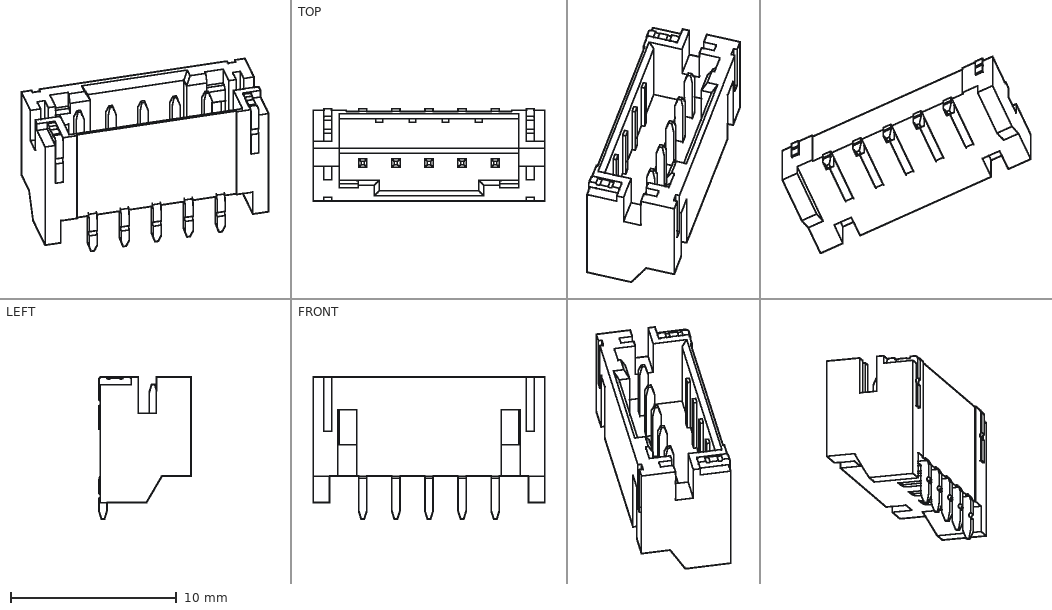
import cadquery as cq
import math


LENGTH = 14.0
DEPTH = 5.5
HEIGHT = 6.0
HALF_LENGTH = LENGTH / 2
PROUD = 0.08
METAL_BACK = DEPTH + PROUD

FOOT_WIDTH = 1.0
FOOT_HEIGHT = 1.6
FOOT_TOP_Y = 1.76
FOOT_BOTTOM_Y = 2.7

CAVITY_HALF = 5.42
CAVITY_FRONT = 1.26
CAVITY_BACK = 4.97
LEAD_IN = 0.3
LEAD_IN_HEIGHT = 0.5
KEYWAY_HALF = 3.01
KEYWAY_FRONT = 0.62
FRONT_FLOOR_DEPTH = 4.1
FLOOR_STEP = 0.6
FLOOR_SLOPE_START = 2.9

RIB_WIDTH = 0.4
RIB_DEPTH = 0.2
RIB_TOP_DEPTH = 1.2

BACK_RECESS_HALF = 5.0
BACK_RECESS_DEPTH = 0.08

SLOT_FRONT = 2.1
SLOT_BACK = 3.19
SLOT_DEPTH = 2.2

NOTCH_INNER = 4.37
NOTCH_OUTER = 5.5
NOTCH_TOP_DEPTH = 2.0

POCKET_INNER = 4.28
POCKET_FRONT = 0.8
POCKET_DEPTH = 1.0
POCKET_BEVEL = 0.21

TAB_CENTER = 6.12
TAB_WIDTH = 0.48
TAB_THICKNESS = 0.48
TAB_TOP_LENGTH = 1.96
TAB_LEG_LENGTH = 3.16
TAB_ROUND = 0.2
TAB_SCOOP_RADIUS = 0.14
TAB_DIP_SETBACK = 0.46
TAB_DIP_LENGTH = 1.02
TAB_DIP_DEPTH = 0.08
TAB_LEG_SCOOP_RADIUS = 0.2
TAB_LEG_SCOOP_OFFSET = 0.07
GROOVE_LENGTH = 3.3
FRONT_GROOVE_DEPTH = 0.22
POST_POCKET_FRONT = 1.3

PIN_COUNT = 5
PITCH = 2.0
PIN_SIZE = 0.5
PIN_Y = 2.3
PIN_TOP_DEPTH = 0.46
PIN_TOP = HEIGHT - PIN_TOP_DEPTH
PIN_BOTTOM = -2.59
PIN_LEG_BOTTOM = -0.14
BEND_INNER = 0.2
BEND_OUTER = BEND_INNER + PIN_SIZE
TIP_SIZE = 0.2
TIP_LENGTH = 0.49
PIN_SCOOP_RADIUS = 0.15
PIN_SCOOP_OFFSET = 0.04
PIN_SCOOP_Z = -1.19

DIAGONAL = math.sqrt(0.5)


def box(x0, x1, y0, y1, z0, z1):
    return cq.Workplane("XY").box(x1 - x0, y1 - y0, z1 - z0, centered=False).translate((x0, y0, z0))


def mirrored_boxes(x0, x1, y0, y1, z0, z1):
    """A box on the +X side together with its mirror image on the -X side."""
    return box(x0, x1, y0, y1, z0, z1).add(box(-x1, -x0, y0, y1, z0, z1)).combine()


def extrude_x(outline, center_x, width):
    """Extrude a closed outline of the YZ plane by width, centred on center_x."""
    return outline.extrude(width).translate((center_x - width / 2, 0, 0))


def rod(center_x, y, z, radius, width):
    return extrude_x(cq.Workplane("YZ").center(y, z).circle(radius), center_x, width)


def body_block():
    block = box(-HALF_LENGTH, HALF_LENGTH, 0, DEPTH, 0, HEIGHT)
    for side in (-1, 1):
        foot = cq.Workplane("YZ").polyline([
            (FOOT_TOP_Y, 0),
            (FOOT_BOTTOM_Y, -FOOT_HEIGHT),
            (DEPTH, -FOOT_HEIGHT),
            (DEPTH, 0),
        ]).close()
        block = block.union(extrude_x(foot, side * (HALF_LENGTH - FOOT_WIDTH / 2), FOOT_WIDTH))
    recess = box(-BACK_RECESS_HALF, BACK_RECESS_HALF, DEPTH - BACK_RECESS_DEPTH, DEPTH, 0, HEIGHT)
    return block.cut(recess)


def cavity():
    """Space for the mating plug: stepped floor, keyway and bevelled mouth."""
    floor_z = HEIGHT - FRONT_FLOOR_DEPTH
    lead_in_z = HEIGHT - LEAD_IN_HEIGHT
    main = cq.Workplane("YZ").polyline([
        (CAVITY_FRONT, floor_z),
        (FLOOR_SLOPE_START, floor_z),
        (SLOT_BACK, floor_z - FLOOR_STEP),
        (CAVITY_BACK, floor_z - FLOOR_STEP),
        (CAVITY_BACK, lead_in_z),
        (CAVITY_BACK + LEAD_IN, HEIGHT),
        (CAVITY_FRONT - LEAD_IN, HEIGHT),
        (CAVITY_FRONT, lead_in_z),
    ]).close()
    keyway = box(-KEYWAY_HALF, KEYWAY_HALF, KEYWAY_FRONT, CAVITY_FRONT, floor_z, HEIGHT)
    mouth_half = KEYWAY_HALF + LEAD_IN
    mouth_front = KEYWAY_FRONT - LEAD_IN
    keyway_mouth = (
        cq.Workplane("XY", origin=(0, 0, lead_in_z))
        .polyline([(-KEYWAY_HALF, KEYWAY_FRONT), (KEYWAY_HALF, KEYWAY_FRONT),
                   (KEYWAY_HALF, CAVITY_FRONT), (-KEYWAY_HALF, CAVITY_FRONT)]).close()
        .workplane(offset=LEAD_IN_HEIGHT)
        .polyline([(-mouth_half, mouth_front), (mouth_half, mouth_front),
                   (mouth_half, CAVITY_FRONT), (-mouth_half, CAVITY_FRONT)]).close()
        .loft(ruled=True)
    )
    return extrude_x(main, 0, 2 * CAVITY_HALF).union(keyway).union(keyway_mouth)


def cavity_ribs():
    ribs = cq.Workplane("XY")
    for gap in range(PIN_COUNT - 1):
        x = (gap - (PIN_COUNT - 2) / 2) * PITCH
        ribs = ribs.add(box(x - RIB_WIDTH / 2, x + RIB_WIDTH / 2, CAVITY_BACK - RIB_DEPTH, CAVITY_BACK,
                            HEIGHT - FRONT_FLOOR_DEPTH - FLOOR_STEP, HEIGHT - RIB_TOP_DEPTH))
    return ribs.combine()


def front_notches():
    return mirrored_boxes(NOTCH_INNER, NOTCH_OUTER, 0, CAVITY_FRONT, 0, HEIGHT - NOTCH_TOP_DEPTH)


def corner_pocket(side):
    """Bevelled pocket at one front corner of the cavity mouth."""
    floor_z = HEIGHT - POCKET_DEPTH
    outline = cq.Workplane("YZ").polyline([
        (POCKET_FRONT, floor_z),
        (CAVITY_FRONT - POCKET_BEVEL, floor_z),
        (CAVITY_FRONT, floor_z - POCKET_BEVEL),
        (CAVITY_FRONT, HEIGHT),
        (POCKET_FRONT, HEIGHT),
    ]).close()
    return extrude_x(outline, side * (POCKET_INNER + CAVITY_HALF) / 2, CAVITY_HALF - POCKET_INNER)


def end_wall_cuts():
    """Slots through the end walls, with the grooves and ledges around the tabs."""
    inner = TAB_CENTER - TAB_WIDTH / 2
    outer = TAB_CENTER + TAB_WIDTH / 2
    groove_z = HEIGHT - GROOVE_LENGTH
    slots = mirrored_boxes(CAVITY_HALF, HALF_LENGTH, SLOT_FRONT, SLOT_BACK, HEIGHT - SLOT_DEPTH, HEIGHT)
    post_pockets = mirrored_boxes(inner, outer, POST_POCKET_FRONT, SLOT_FRONT, groove_z, HEIGHT)
    front_grooves = mirrored_boxes(inner, outer, 0, FRONT_GROOVE_DEPTH, groove_z, HEIGHT)
    ledges = mirrored_boxes(inner, HALF_LENGTH, METAL_BACK - TAB_TOP_LENGTH, DEPTH,
                            HEIGHT - TAB_THICKNESS, HEIGHT)
    return [slots, post_pockets, front_grooves, ledges]


def tab_blank(center_x):
    """Square-edged angle that the solder tab is shaped from."""
    outline = cq.Workplane("YZ").polyline([
        (METAL_BACK - TAB_TOP_LENGTH, HEIGHT),
        (METAL_BACK, HEIGHT),
        (METAL_BACK, HEIGHT - TAB_LEG_LENGTH),
        (METAL_BACK - TAB_THICKNESS, HEIGHT - TAB_LEG_LENGTH),
        (METAL_BACK - TAB_THICKNESS, HEIGHT - TAB_THICKNESS),
        (METAL_BACK - TAB_TOP_LENGTH, HEIGHT - TAB_THICKNESS),
    ]).close()
    return extrude_x(outline, center_x, TAB_WIDTH)


def make_tab(center_x):
    """Solder tab with rounded top edges, a dip in its top and a scoop in its leg."""
    scoop_back = METAL_BACK - TAB_DIP_SETBACK - TAB_SCOOP_RADIUS
    scoop_front = METAL_BACK - TAB_DIP_SETBACK - TAB_DIP_LENGTH + TAB_SCOOP_RADIUS
    tab = tab_blank(center_x).faces(">Z").edges("|X").fillet(TAB_ROUND)
    for y in (scoop_front, scoop_back):
        tab = tab.cut(rod(center_x, y, HEIGHT, TAB_SCOOP_RADIUS, TAB_WIDTH))
    tab = tab.cut(box(center_x - TAB_WIDTH / 2, center_x + TAB_WIDTH / 2, scoop_front, scoop_back,
                      HEIGHT - TAB_DIP_DEPTH, HEIGHT))
    leg_scoop = rod(center_x, METAL_BACK + TAB_LEG_SCOOP_OFFSET, HEIGHT - TAB_LEG_LENGTH / 2,
                    TAB_LEG_SCOOP_RADIUS, TAB_WIDTH)
    return tab.cut(leg_scoop)


def make_pin(center_x):
    """Square pin bent back and down again, tapered at both tips."""
    half = PIN_SIZE / 2
    half_tip = TIP_SIZE / 2
    front = PIN_Y - half
    back = PIN_Y + half
    tail_y = METAL_BACK - half
    tail_front = METAL_BACK - PIN_SIZE
    leg_top = PIN_LEG_BOTTOM + PIN_SIZE
    upper_bend = (back + BEND_INNER, leg_top + BEND_INNER)
    lower_bend = (tail_front - BEND_INNER, PIN_LEG_BOTTOM - BEND_INNER)

    def upper_mid(radius):
        return (upper_bend[0] - radius * DIAGONAL, upper_bend[1] - radius * DIAGONAL)

    def lower_mid(radius):
        return (lower_bend[0] + radius * DIAGONAL, lower_bend[1] + radius * DIAGONAL)

    side_profile = (
        cq.Workplane("YZ")
        .moveTo(PIN_Y - half_tip, PIN_TOP)
        .lineTo(front, PIN_TOP - TIP_LENGTH)
        .lineTo(front, upper_bend[1])
        .threePointArc(upper_mid(BEND_OUTER), (upper_bend[0], PIN_LEG_BOTTOM))
        .lineTo(lower_bend[0], PIN_LEG_BOTTOM)
        .threePointArc(lower_mid(BEND_INNER), (tail_front, lower_bend[1]))
        .lineTo(tail_front, PIN_BOTTOM + TIP_LENGTH)
        .lineTo(tail_y - half_tip, PIN_BOTTOM)
        .lineTo(tail_y + half_tip, PIN_BOTTOM)
        .lineTo(METAL_BACK, PIN_BOTTOM + TIP_LENGTH)
        .lineTo(METAL_BACK, lower_bend[1])
        .threePointArc(lower_mid(BEND_OUTER), (lower_bend[0], leg_top))
        .lineTo(upper_bend[0], leg_top)
        .threePointArc(upper_mid(BEND_INNER), (back, upper_bend[1]))
        .lineTo(back, PIN_TOP - TIP_LENGTH)
        .lineTo(PIN_Y + half_tip, PIN_TOP)
        .close()
    )
    front_profile = (
        cq.Workplane("XZ", origin=(center_x, METAL_BACK, 0))
        .polyline([
            (-half_tip, PIN_TOP),
            (half_tip, PIN_TOP),
            (half, PIN_TOP - TIP_LENGTH),
            (half, PIN_BOTTOM + TIP_LENGTH),
            (half_tip, PIN_BOTTOM),
            (-half_tip, PIN_BOTTOM),
            (-half, PIN_BOTTOM + TIP_LENGTH),
            (-half, PIN_TOP - TIP_LENGTH),
        ])
        .close()
        .extrude(METAL_BACK)
    )
    scoop = rod(center_x, METAL_BACK + PIN_SCOOP_OFFSET, PIN_SCOOP_Z, PIN_SCOOP_RADIUS, PIN_SIZE)
    return extrude_x(side_profile, center_x, PIN_SIZE).intersect(front_profile).cut(scoop)


def make_housing(pins):
    """Housing with matching holes for the pins and seats for the tabs."""
    housing = body_block().cut(cavity()).union(cavity_ribs()).cut(front_notches())
    for feature in end_wall_cuts():
        housing = housing.cut(feature)
    for side in (-1, 1):
        housing = housing.cut(corner_pocket(side)).cut(tab_blank(side * TAB_CENTER))
    for pin in pins:
        housing = housing.cut(pin)
    return housing


pins = [make_pin((index - (PIN_COUNT - 1) / 2) * PITCH) for index in range(PIN_COUNT)]
tabs = [make_tab(side * TAB_CENTER) for side in (-1, 1)]
housing = make_housing(pins)

result = cq.Compound.makeCompound([body.solids().val() for body in [housing, *pins, *tabs]])